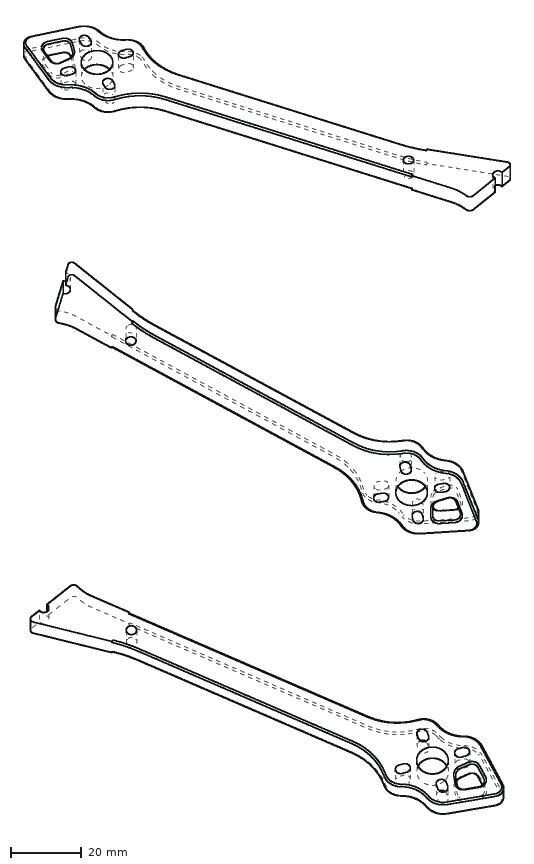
import cadquery as cq
import math

ARM_ANGLE = 20
THICKNESS = 6.0
EDGE_CHAMFER = 0.5

NOSE_X = 24.1
LOBE_X = 7.4
LOBE_Y = 13.3
VALLEY_Y = 9.5
ARM_HALF_WIDTH = 5.1
NOSE_RADIUS = 3.0
NOSE_LOBE_RADIUS = 5.8
ROOT_LOBE_RADIUS = 5.1
VALLEY_RADIUS = 8.6
ROOT_RADIUS = 18.1
NOSE_SLOPE = LOBE_Y / (NOSE_X - LOBE_X)
ROOT_X = 15.5

FLARE_X = 95.2
FLARE_ANGLE = 10.8
FLARE_RADIUS = 40.2
CHAMFER_END_X = 99.2
END_FACE_X = 112.9
TAIL_BOTTOM_Y = 34.0
TAIL_CORNER_RADIUS = 1.1
TAIL_BOTTOM_RADIUS = 1.3
HEEL_RADIUS = 12.0

MOTOR_HOLE_DIAMETER = 9.0
SMALL_DIAMETER = 3.0
SCREW_CIRCLE_RADIUS = 8.8
SLOT_LENGTH = 4.3
ARM_HOLE_X = 96.0
NOTCH_Y = 46.0
NOTCH_INSET = 0.3
POCKET_NOSE_X = 17.5
POCKET_SIDE_X = 10.9
POCKET_INNER_X = 7.1
POCKET_NOSE_RADIUS = 2.0
POCKET_SIDE_RADIUS = 1.7
POCKET_INNER_RADIUS = 2.7
POCKET_SIDE_Y = (POCKET_NOSE_X - POCKET_SIDE_X) * NOSE_SLOPE

COS = math.cos(math.radians(ARM_ANGLE))
SIN = math.sin(math.radians(ARM_ANGLE))


def to_local(x, y):
    """Turn a global point into the arm's own axes."""
    return x * COS + y * SIN, y * COS - x * SIN


def unit_vector(start, end):
    length = math.dist(start, end)
    return (end[0] - start[0]) / length, (end[1] - start[1]) / length


def rounded_prism(corners):
    """Extrude a closed outline of (x, y, radius) corners, each rounded by an arc."""
    path = None
    for i, (x, y, radius) in enumerate(corners):
        back = unit_vector((x, y), corners[i - 1][:2])
        ahead = unit_vector((x, y), corners[(i + 1) % len(corners)][:2])
        half_angle = math.acos(back[0] * ahead[0] + back[1] * ahead[1]) / 2
        setback = radius / math.tan(half_angle)
        start = (x + setback * back[0], y + setback * back[1])
        end = (x + setback * ahead[0], y + setback * ahead[1])
        path = path.lineTo(*start) if path else cq.Workplane("XY").moveTo(*start)
        bisector = unit_vector((0, 0), (back[0] + ahead[0], back[1] + ahead[1]))
        reach = radius / math.sin(half_angle) - radius
        middle = (x + reach * bisector[0], y + reach * bisector[1])
        path = path.threePointArc(middle, end)
    return path.close().extrude(THICKNESS)


def make_plate():
    upper_side = [
        (-LOBE_X, LOBE_Y, NOSE_LOBE_RADIUS),
        (0, VALLEY_Y, VALLEY_RADIUS),
        (LOBE_X, LOBE_Y, ROOT_LOBE_RADIUS),
        (ROOT_X, ARM_HALF_WIDTH, ROOT_RADIUS),
    ]
    lower_side = [(x, -y, radius) for x, y, radius in reversed(upper_side)]

    flare_slope = math.tan(math.radians(FLARE_ANGLE))
    tip_x = (END_FACE_X + SIN * (ARM_HALF_WIDTH - flare_slope * FLARE_X)) / (COS - SIN * flare_slope)
    tip_y = ARM_HALF_WIDTH + flare_slope * (tip_x - FLARE_X)
    heel_x = (TAIL_BOTTOM_Y + ARM_HALF_WIDTH * COS) / SIN
    tail = [
        (FLARE_X, ARM_HALF_WIDTH, FLARE_RADIUS),
        (tip_x, tip_y, TAIL_CORNER_RADIUS),
        (*to_local(END_FACE_X, TAIL_BOTTOM_Y), TAIL_BOTTOM_RADIUS),
        (heel_x, -ARM_HALF_WIDTH, HEEL_RADIUS),
    ]
    return rounded_prism([(-NOSE_X, 0, NOSE_RADIUS)] + upper_side + tail + lower_side)


def make_pocket():
    return rounded_prism([
        (-POCKET_NOSE_X, 0, POCKET_NOSE_RADIUS),
        (-POCKET_SIDE_X, POCKET_SIDE_Y, POCKET_SIDE_RADIUS),
        (-POCKET_INNER_X, 0, POCKET_INNER_RADIUS),
        (-POCKET_SIDE_X, -POCKET_SIDE_Y, POCKET_SIDE_RADIUS),
    ])


def chamfer_head_and_arm(plate):
    """Chamfer both faces, pocket rim included, but leave the tail square."""
    chamfered = plate.faces("|Z").edges().chamfer(EDGE_CHAMFER)
    tail_box = cq.Workplane("XY").box(
        END_FACE_X, END_FACE_X, THICKNESS, centered=(False, True, False)
    ).translate((CHAMFER_END_X, 0, 0))
    return chamfered.cut(tail_box).union(plate.intersect(tail_box))


def make_holes():
    holes = cq.Workplane("XY").circle(MOTOR_HOLE_DIAMETER / 2).extrude(THICKNESS)
    for angle in (45, 135, 225, 315):
        slot = cq.Workplane("XY").center(SCREW_CIRCLE_RADIUS, 0).slot2D(SLOT_LENGTH, SMALL_DIAMETER)
        holes = holes.union(slot.extrude(THICKNESS).rotate((0, 0, 0), (0, 0, 1), angle))
    arm_hole = cq.Workplane("XY").center(ARM_HOLE_X, 0).circle(SMALL_DIAMETER / 2)
    return holes.union(arm_hole.extrude(THICKNESS))


def make_notch():
    """Round-bottomed notch opening through the end face, in global axes."""
    center_x = END_FACE_X - NOTCH_INSET
    notch = cq.Workplane("XY").center(center_x, NOTCH_Y).circle(SMALL_DIAMETER / 2).extrude(THICKNESS)
    mouth = cq.Workplane("XY").box(
        SMALL_DIAMETER, SMALL_DIAMETER, THICKNESS, centered=(False, True, False)
    )
    return notch.union(mouth.translate((center_x, NOTCH_Y, 0)))


arm = chamfer_head_and_arm(make_plate().cut(make_pocket())).cut(make_holes())
result = arm.rotate((0, 0, 0), (0, 0, 1), ARM_ANGLE).cut(make_notch())